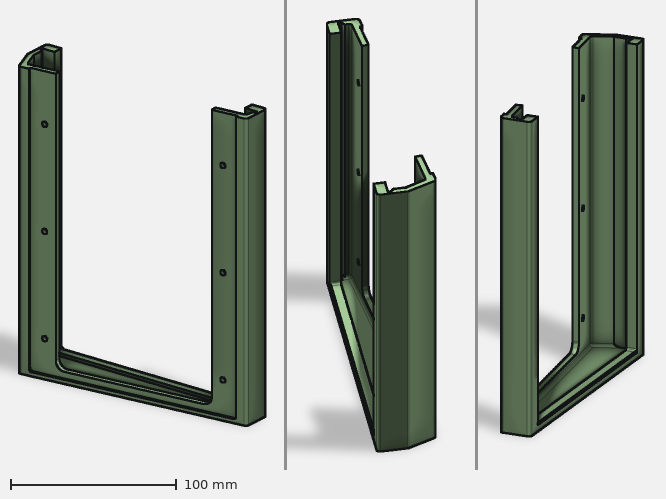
import cadquery as cq
import math

height = 201.0
bend_y = 19.3
lower_left_x = 5.0
rear_width = 166.0
upper_left_length = 19.0
tilt = math.radians(6.34)
outer_radius = 2.2

wall = 4.0
flange_back_y = 5.8
floor_z = 3.0
inner_radius = 2.0

lip_thickness = 7.0
lip_width = 11.0
lip_floor_z = 5.0
lip_corner_radius = 1.6
lip_bevel = 0.8

groove_depth = 2.0
groove_wall = 2.0
groove_slope = 1.6

recess_left, recess_right = 12.3, 157.4
recess_depth = 1.6
recess_floor_z = 2.8
recess_radius = 2.0

window_left, window_right = 30.2, 139.5
window_floor_z = 7.2
window_radius = 6.0

hole_diameter = 3.5
hole_columns = (22.3, 147.1)
hole_first_z = 26.0
hole_pitch = 70.1
hole_rows = 3

overlap = 0.2

rear_left_x = upper_left_length * math.sin(tilt)
rear_left_y = bend_y + upper_left_length * math.cos(tilt)


def tilted(across, depth):
    """Point measured along the rear face and square into the part from it."""
    return (
        rear_left_x + across * math.cos(tilt) - depth * math.sin(tilt),
        rear_left_y - across * math.sin(tilt) - depth * math.cos(tilt),
    )


def right_wall_at(y, inset):
    """Point at depth y on a line parallel to the right wall, inset from it."""
    x, start_y = tilted(rear_width - inset, 0)
    return (x - (start_y - y) * math.tan(tilt), y)


def prism(points, base_z):
    """Upright body on an XY outline, from base_z to the open top."""
    return cq.Workplane("XY").workplane(offset=base_z).polyline(points).close().extrude(height - base_z)


def front_cut(left, right, bottom, radius, depth):
    """Cut from the front face, open at the top, with rounded bottom corners."""
    return (
        cq.Workplane("XY")
        .box(right - left, depth, height - bottom, centered=False)
        .translate((left, 0, bottom))
        .edges("|Y and <Z")
        .fillet(radius)
    )


def outer_body():
    """Solid wedge with every upright edge rounded."""
    outline = [
        (lower_left_x, 0),
        (0, bend_y),
        tilted(0, 0),
        tilted(rear_width, 0),
        right_wall_at(0, 0),
    ]
    return prism(outline, 0).edges("|Z").fillet(outer_radius)


def cavity():
    """Space between flange and lip, with a fillet where the flange and lower side walls meet the floor."""
    lower_lean = math.atan2(lower_left_x, bend_y)
    bend_shift = wall * math.tan((lower_lean + tilt) / 2)
    bend_x, inner_bend_y = tilted(wall, upper_left_length - bend_shift)
    front_left_x = bend_x + (inner_bend_y - flange_back_y) * math.tan(lower_lean)
    rear = lip_thickness + groove_depth - overlap
    outline = [
        (front_left_x, flange_back_y),
        (bend_x, inner_bend_y),
        tilted(wall, rear),
        tilted(rear_width - wall, rear),
        right_wall_at(flange_back_y, wall),
    ]
    body = prism(outline, floor_z)
    front_corners = cq.selectors.BoxSelector((0, 0, 0), (rear_width, flange_back_y + overlap, height))
    body = body.edges("|Z").edges(front_corners).fillet(inner_radius)
    return body.faces("<Z").edges("<Y").fillet(inner_radius)


def panel_groove():
    """Slot for a panel in front of the lip, with its front corners sloped back to the side walls."""
    front = lip_thickness + groove_depth
    outline = [
        tilted(groove_wall, lip_thickness),
        tilted(groove_wall, front),
        tilted(wall, front + groove_slope),
        tilted(wall, front),
        tilted(rear_width - wall, front),
        tilted(rear_width - wall, front + groove_slope),
        tilted(rear_width - groove_wall, front),
        tilted(rear_width - groove_wall, lip_thickness),
    ]
    return prism(outline, floor_z)


def lip_opening():
    """Rear opening that leaves a lip along both sides and the bottom."""
    rear = -overlap
    left, right = lip_width, rear_width - lip_width
    front = lip_thickness + overlap
    outline = [tilted(left, rear), tilted(right, rear), tilted(right, front), tilted(left, front)]
    body = prism(outline, lip_floor_z)
    return body.faces("<Z").edges("<X or >X").fillet(lip_corner_radius)


def lip_edge_bevel():
    """Cutter for the rear top edge of the bottom lip."""
    triangle = [(-lip_bevel, lip_floor_z), (lip_bevel, lip_floor_z), (lip_bevel, lip_floor_z - 2 * lip_bevel)]
    x, y = tilted(lip_width, 0)
    bar = cq.Workplane("YZ").polyline(triangle).close().extrude(rear_width - 2 * lip_width)
    return bar.rotate((0, 0, 0), (0, 0, 1), -math.degrees(tilt)).translate((x, y, 0))


def screw_holes():
    positions = [(x, hole_first_z + row * hole_pitch) for x in hole_columns for row in range(hole_rows)]
    holes = cq.Workplane("XZ").pushPoints(positions).circle(hole_diameter / 2)
    return holes.extrude(-flange_back_y - overlap)


front_recess = front_cut(recess_left, recess_right, recess_floor_z, recess_radius, recess_depth)
window = front_cut(window_left, window_right, window_floor_z, window_radius, flange_back_y + inner_radius)

result = outer_body()
for cutter in (cavity(), panel_groove(), lip_opening(), lip_edge_bevel(), front_recess, window, screw_holes()):
    result = result.cut(cutter)